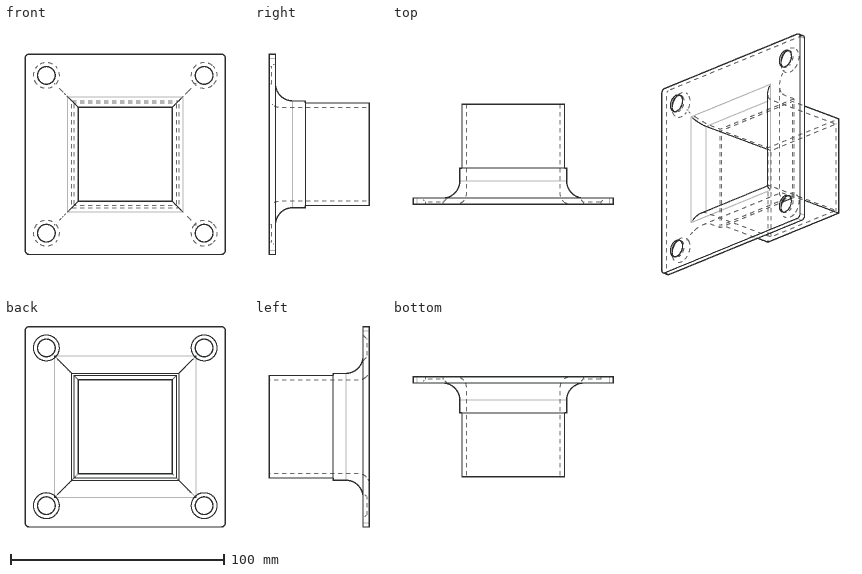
import cadquery as cq
import math

plate_side = 94.0
plate_thickness = 3.0
plate_corner_radius = 2.0
hole_diameter = 8.2
hole_straight_depth = 1.0
hole_spacing = 74.0

total_depth = 47.0
tube_side = 48.1
opening_side = 44.0
entry_radius = 5.0

collar_side = 50.2
collar_end = 17.0
flare_radius = 8.0


def square_block(side, y_start, y_end):
    """Square block centred on the Y axis."""
    return (
        cq.Workplane("XZ", origin=(0, y_start, 0))
        .rect(side, side)
        .extrude(y_start - y_end)
    )


def curved_square(neck_side, radius, y_wide):
    """Square body narrowing from y_wide along concave quarter arcs, with mitred corners."""
    neck = neck_side / 2
    wide = neck + radius
    y_neck = y_wide + radius
    arc_inset = radius * (1 - math.sqrt(0.5))
    profile = (
        cq.Workplane("XY", origin=(0, 0, -wide))
        .moveTo(-neck, y_neck)
        .lineTo(neck, y_neck)
        .threePointArc((neck + arc_inset, y_wide + arc_inset), (wide, y_wide))
        .lineTo(-wide, y_wide)
        .threePointArc((-neck - arc_inset, y_wide + arc_inset), (-neck, y_neck))
        .close()
        .extrude(2 * wide)
    )
    return profile.intersect(profile.rotate((0, 0, 0), (0, 1, 0), 90))


def mounting_plate():
    """Flat plate with rounded corners and four bolt holes countersunk from behind."""
    plate = square_block(plate_side, 0, plate_thickness).edges("|Y").fillet(plate_corner_radius)
    radius = hole_diameter / 2
    sink_radius = radius + plate_thickness - hole_straight_depth
    hole = (
        cq.Workplane("XY")
        .polyline(
            [
                (0, 0),
                (radius, 0),
                (radius, hole_straight_depth),
                (sink_radius, plate_thickness),
                (0, plate_thickness),
            ]
        )
        .close()
        .revolve(360, (0, 0, 0), (0, 1, 0))
    )
    for x in (-hole_spacing / 2, hole_spacing / 2):
        for z in (-hole_spacing / 2, hole_spacing / 2):
            plate = plate.cut(hole.translate((x, 0, z)))
    return plate


collar = square_block(collar_side, plate_thickness, collar_end)
flare = curved_square(collar_side, flare_radius, plate_thickness)
tube = square_block(tube_side, plate_thickness, total_depth)
body = mounting_plate().union(collar).union(flare).union(tube)

passage = square_block(opening_side, 0, total_depth)
entry = curved_square(opening_side, entry_radius, 0)
result = body.cut(passage).cut(entry)